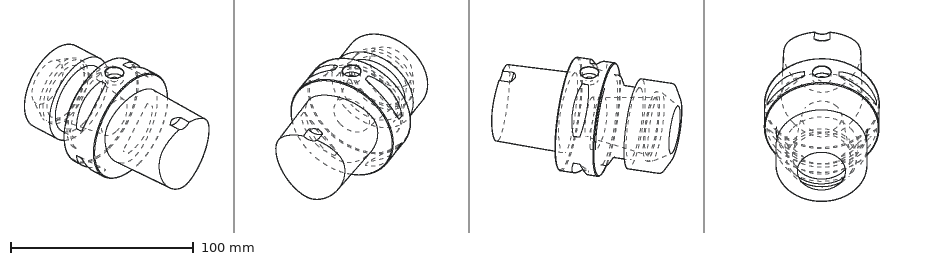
import cadquery as cq
import math


nut_front_x = -60.0
nut_length = 22.5
nut_radius = 25.0
nut_nose_radius = 17.6
nut_nose_angle = 30.0
nut_edge_fillet = 2.0

opening_radius = 13.2
opening_cone_angle = 30.0
chamber_radius = 38.5 / 2
body_front_depth = 13.0
seat_mouth_radius = 15.9
seat_end_radius = 11.0
seat_angle = 8.0

neck_radius = 20.0
collar_radius = 25.0
collar_cone_start_x = -28.05
collar_cone_angle = 60.0
collar_fillet = 0.7

flange_width = 22.0
flange_radius = 63.0 / 2
flange_chamfer = 0.5
recess_outer_radius = 27.0
recess_depth = 0.25
recess_fillet = 1.0

groove_x = -12.0
groove_floor_radius = 27.9
groove_floor_width = 3.6
groove_flank_angle = 30.0
groove_floor_fillet = 0.5
groove_angles = (45, 135, 225, 315)
hole_diameter = 10.0
hole_floor_z = 26.5
hole_rim_chamfer = 0.2
centre_drill_diameter = 4.0
drill_point_angle = 118.0

shank_length = 38.0
shank_mean_diameter = 44.4
shank_lobe_height = 1.4
shank_taper = 1 / 20
shank_curve_points = 60

slot_radius = 6.8
slot_bottom_z = 18.1
slot_cylinder_length = 6.3
slot_cone_half_angle = 45.0


def tangent(degrees):
    return math.tan(math.radians(degrees))


def ring_edges(x, radius):
    """Select the circular edge about the X axis at one X and radius."""
    margin = 0.05
    reach = radius + margin
    return cq.selectors.BoxSelector(
        (x - margin, -reach, -reach), (x + margin, reach, reach), boundingbox=True
    )


def make_turned_body():
    """Nut, neck, collar and flange as one solid of revolution."""
    nut_cone_end_x = nut_front_x + (nut_radius - nut_nose_radius) / tangent(90 - nut_nose_angle)
    nut_rear_x = nut_front_x + nut_length
    collar_cone_end_x = collar_cone_start_x + (collar_radius - neck_radius) / tangent(collar_cone_angle)
    flange_front_x = -flange_width
    recess_floor_x = flange_front_x + recess_depth
    fillet_centre_x = recess_floor_x - recess_fillet
    fillet_centre_radius = collar_radius + recess_fillet
    fillet_middle = recess_fillet * math.sqrt(0.5)

    body = (
        cq.Workplane("XY")
        .moveTo(nut_front_x, 0)
        .lineTo(nut_front_x, nut_nose_radius)
        .lineTo(nut_cone_end_x, nut_radius)
        .lineTo(nut_rear_x, nut_radius)
        .lineTo(nut_rear_x, neck_radius)
        .lineTo(collar_cone_start_x, neck_radius)
        .lineTo(collar_cone_end_x, collar_radius)
        .lineTo(fillet_centre_x, collar_radius)
        .threePointArc(
            (fillet_centre_x + fillet_middle, fillet_centre_radius - fillet_middle),
            (recess_floor_x, fillet_centre_radius),
        )
        .lineTo(flange_front_x, recess_outer_radius)
        .lineTo(flange_front_x, flange_radius - flange_chamfer)
        .lineTo(flange_front_x + flange_chamfer, flange_radius)
        .lineTo(-flange_chamfer, flange_radius)
        .lineTo(0, flange_radius - flange_chamfer)
        .lineTo(0, 0)
        .close()
        .revolve(360, (0, 0, 0), (1, 0, 0))
    )
    body = body.edges(ring_edges(nut_front_x, nut_nose_radius)).fillet(nut_edge_fillet)
    body = body.edges(ring_edges(nut_cone_end_x, nut_radius)).fillet(nut_edge_fillet)
    body = body.edges(ring_edges(collar_cone_start_x, neck_radius)).fillet(collar_fillet)
    return body.edges(ring_edges(collar_cone_end_x, collar_radius)).fillet(collar_fillet)


def make_collet_cavity():
    """Opening that widens behind the nut face, then the tapered collet seat."""
    chamber_start_x = nut_front_x + (chamber_radius - opening_radius) / tangent(opening_cone_angle)
    body_front_x = nut_front_x + body_front_depth
    seat_end_x = body_front_x + (seat_mouth_radius - seat_end_radius) / tangent(seat_angle)
    return (
        cq.Workplane("XY")
        .moveTo(nut_front_x, 0)
        .lineTo(nut_front_x, opening_radius)
        .lineTo(chamber_start_x, chamber_radius)
        .lineTo(body_front_x, chamber_radius)
        .lineTo(body_front_x, seat_mouth_radius)
        .lineTo(seat_end_x, seat_end_radius)
        .lineTo(seat_end_x, 0)
        .close()
        .revolve(360, (0, 0, 0), (1, 0, 0))
    )


def shank_point(mean_radius, angle):
    """Point on a curve of constant width with three lobes, one of them toward -Z."""
    support = mean_radius + shank_lobe_height * math.cos(3 * angle)
    slope = -3 * shank_lobe_height * math.sin(3 * angle)
    toward_lobe = support * math.cos(angle) - slope * math.sin(angle)
    sideways = support * math.sin(angle) + slope * math.cos(angle)
    return sideways, -toward_lobe


def make_shank():
    front_radius = shank_mean_diameter / 2
    rear_radius = front_radius - shank_length * shank_taper / 2
    step = 2 * math.pi / shank_curve_points
    front = [shank_point(front_radius, i * step) for i in range(shank_curve_points)]
    rear = [shank_point(rear_radius, i * step) for i in range(shank_curve_points)]
    return (
        cq.Workplane("YZ")
        .spline(front, periodic=True)
        .close()
        .workplane(offset=shank_length)
        .spline(rear, periodic=True)
        .close()
        .loft(ruled=True)
    )


def make_gripper_groove(angle):
    """Straight groove across the rim, with sloping flanks and rounded floor corners."""
    depth = flange_radius - groove_floor_radius
    half_floor = groove_floor_width / 2
    half_top = half_floor + depth * tangent(groove_flank_angle)
    return (
        cq.Workplane("XZ")
        .moveTo(groove_x - half_floor, groove_floor_radius)
        .lineTo(groove_x + half_floor, groove_floor_radius)
        .lineTo(groove_x + half_top, flange_radius)
        .lineTo(groove_x - half_top, flange_radius)
        .close()
        .extrude(flange_radius, both=True)
        .edges("|Y")
        .edges("<Z")
        .fillet(groove_floor_fillet)
        .rotate((0, 0, 0), (1, 0, 0), angle)
    )


def make_orientation_hole():
    """Flat-bottomed hole in the top of the rim, with a conical drill mark in its floor."""
    mark_radius = centre_drill_diameter / 2
    mark_depth = mark_radius / tangent(drill_point_angle / 2)
    return (
        cq.Workplane("XZ")
        .moveTo(groove_x, hole_floor_z - mark_depth)
        .lineTo(groove_x + mark_radius, hole_floor_z)
        .lineTo(groove_x + hole_diameter / 2, hole_floor_z)
        .lineTo(groove_x + hole_diameter / 2, flange_radius)
        .lineTo(groove_x, flange_radius)
        .close()
        .revolve(360, (groove_x, 0, 0), (groove_x, 1, 0))
    )


def hole_rim_edge():
    """Select the saddle-shaped edge where the orientation hole meets the rim."""
    margin = 0.1
    reach = hole_diameter / 2 + margin
    rim_low_z = math.sqrt(flange_radius**2 - (hole_diameter / 2) ** 2)
    return cq.selectors.BoxSelector(
        (groove_x - reach, -reach, rim_low_z - margin),
        (groove_x + reach, reach, flange_radius + margin),
        boundingbox=True,
    )


def make_shank_slot():
    """Round-bottomed slot from the rear face, running out in a cone."""
    axis_z = slot_bottom_z + slot_radius
    cone_end_x = shank_length - slot_cylinder_length
    tip_x = cone_end_x - slot_radius / tangent(slot_cone_half_angle)
    return (
        cq.Workplane("XZ")
        .moveTo(tip_x, axis_z)
        .lineTo(cone_end_x, slot_bottom_z)
        .lineTo(shank_length, slot_bottom_z)
        .lineTo(shank_length, axis_z)
        .close()
        .revolve(360, (tip_x, axis_z, 0), (shank_length, axis_z, 0))
    )


result = make_turned_body().union(make_shank().cut(make_shank_slot()))
result = result.cut(make_collet_cavity())
for groove_angle in groove_angles:
    result = result.cut(make_gripper_groove(groove_angle))
result = result.cut(make_orientation_hole())
result = result.edges(hole_rim_edge()).chamfer(hole_rim_chamfer)